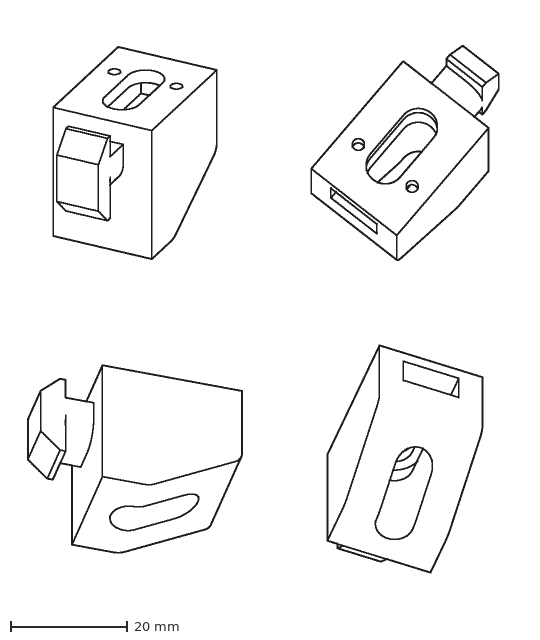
import cadquery as cq

body_width = 19.0
body_length = 25.0
body_height = 25.0
back_height = 15.42
slope_run = 16.55
back_corner_radius = 2.5
bottom_corner_radius = 4.0

total_length = 34.5
nut_width = 8.0
neck_length = 5.0
head_height = 2 * nut_width
nut_reach = total_length - body_length
head_chamfer = 3.5
nut_center_z = -head_height / 2

slot_width = 6.6
slot_length = 15.6
slot_back_margin = 5.2
slot_center_y = body_length - slot_back_margin - slot_length / 2
arc_center_offset = (slot_length - slot_width) / 2

channel_width = 10.2
channel_ceiling_depth = 2.5
channel_floor_depth = 8.0
channel_front_y = slot_center_y - arc_center_offset

pin_diameter = 2.1
pin_depth = channel_ceiling_depth
pin_offset_x = 5.97
pin_y = slot_center_y + arc_center_offset


def make_body():
    """Side profile in YZ, extruded across the width, with its two lower corners rounded."""
    slope_end_y = body_length - slope_run
    block = (
        cq.Workplane("YZ")
        .moveTo(0, 0)
        .lineTo(body_length, 0)
        .lineTo(body_length, -back_height)
        .lineTo(slope_end_y, -body_height)
        .lineTo(0, -body_height)
        .close()
        .extrude(body_width / 2, both=True)
    )
    back_corner = cq.NearestToPointSelector((0, body_length, -back_height))
    block = block.edges(back_corner).fillet(back_corner_radius)
    bottom_corner = cq.NearestToPointSelector((0, slope_end_y, -body_height))
    return block.edges(bottom_corner).fillet(bottom_corner_radius)


def make_neck():
    """Square neck with two diagonally opposite corners fully rounded, so the nut can turn."""
    half = nut_width / 2
    neck = cq.Workplane("XY").box(nut_width, neck_length, nut_width)
    for side in (-1, 1):
        corner = cq.NearestToPointSelector((side * half, 0, -side * half))
        neck = neck.edges("|Y").edges(corner).fillet(half)
    return neck.translate((0, -neck_length / 2, nut_center_z))


def make_head():
    """Head plate whose upper and lower front edges are chamfered."""
    head_length = nut_reach - neck_length
    head = cq.Workplane("XY").box(nut_width, head_length, head_height)
    head = head.faces("<Y").edges("|X").chamfer(head_chamfer)
    return head.translate((0, -neck_length - head_length / 2, nut_center_z))


def make_slot():
    return (
        cq.Workplane("XY")
        .center(0, slot_center_y)
        .slot2D(slot_length, slot_width, 90)
        .extrude(-body_height)
    )


def make_channel():
    """Channel with a round front end, concentric with the front arc of the slot."""
    half = channel_width / 2
    return (
        cq.Workplane("XY", origin=(0, 0, -channel_ceiling_depth))
        .moveTo(half, body_length)
        .lineTo(half, channel_front_y)
        .threePointArc((0, channel_front_y - half), (-half, channel_front_y))
        .lineTo(-half, body_length)
        .close()
        .extrude(channel_ceiling_depth - channel_floor_depth)
    )


def make_pin_holes():
    return (
        cq.Workplane("XY")
        .pushPoints([(-pin_offset_x, pin_y), (pin_offset_x, pin_y)])
        .circle(pin_diameter / 2)
        .extrude(-pin_depth)
    )


result = make_body().union(make_neck()).union(make_head())
result = result.cut(make_slot()).cut(make_channel()).cut(make_pin_holes())